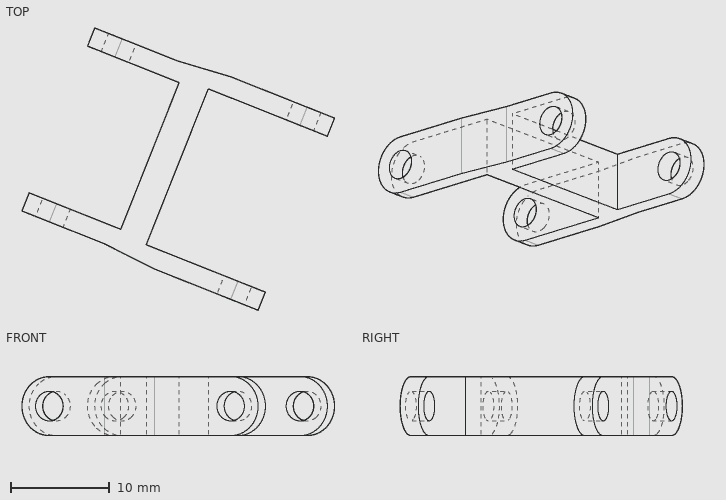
import cadquery as cq

height = 6.0
plate_thickness = 2.0
web_thickness = 3.0
turn_angle = -21.7

narrow_arm_reach = 10.0
wide_arm_reach = 13.0

narrow_gap = 16.0
wide_gap = 17.0

flare_start_margin = 1.0
flare_end_margin = 1.7

pin_hole_diameter = 3.0
end_radius = height / 2

web_half = web_thickness / 2
narrow_end = -web_half - narrow_arm_reach
wide_end = web_half + wide_arm_reach
flare_start = -web_half - flare_start_margin
flare_end = web_half + flare_end_margin

narrow_inner = narrow_gap / 2
wide_inner = wide_gap / 2
narrow_outer = narrow_inner + plate_thickness
wide_outer = wide_inner + plate_thickness
overall_width = 2 * wide_outer


def make_half_frame():
    """One side plate with its half of the web, square-ended."""
    outline = [
        (-web_half, 0),
        (-web_half, narrow_inner),
        (narrow_end, narrow_inner),
        (narrow_end, narrow_outer),
        (flare_start, narrow_outer),
        (flare_end, wide_outer),
        (wide_end, wide_outer),
        (wide_end, wide_inner),
        (web_half, wide_inner),
        (web_half, 0),
    ]
    half = cq.Workplane("XY").polyline(outline).close().extrude(height)
    return half.translate((0, 0, -height / 2))


def make_side_profile():
    """Round-ended envelope that trims the arm ends, seen along the pin axes."""
    length = wide_end - narrow_end
    middle = (narrow_end + wide_end) / 2
    return (
        cq.Workplane("XZ")
        .center(middle, 0)
        .slot2D(length, height)
        .extrude(wide_outer, both=True)
    )


def make_pin_holes():
    """Cylinders through both plates, concentric with the rounded ends."""
    centers = [(narrow_end + end_radius, 0), (wide_end - end_radius, 0)]
    return (
        cq.Workplane("XZ")
        .pushPoints(centers)
        .circle(pin_hole_diameter / 2)
        .extrude(overall_width, both=True)
    )


half_frame = make_half_frame()
frame = half_frame.union(half_frame.mirror("XZ"))
frame = frame.intersect(make_side_profile()).cut(make_pin_holes())
result = frame.rotate((0, 0, 0), (0, 0, 1), turn_angle)